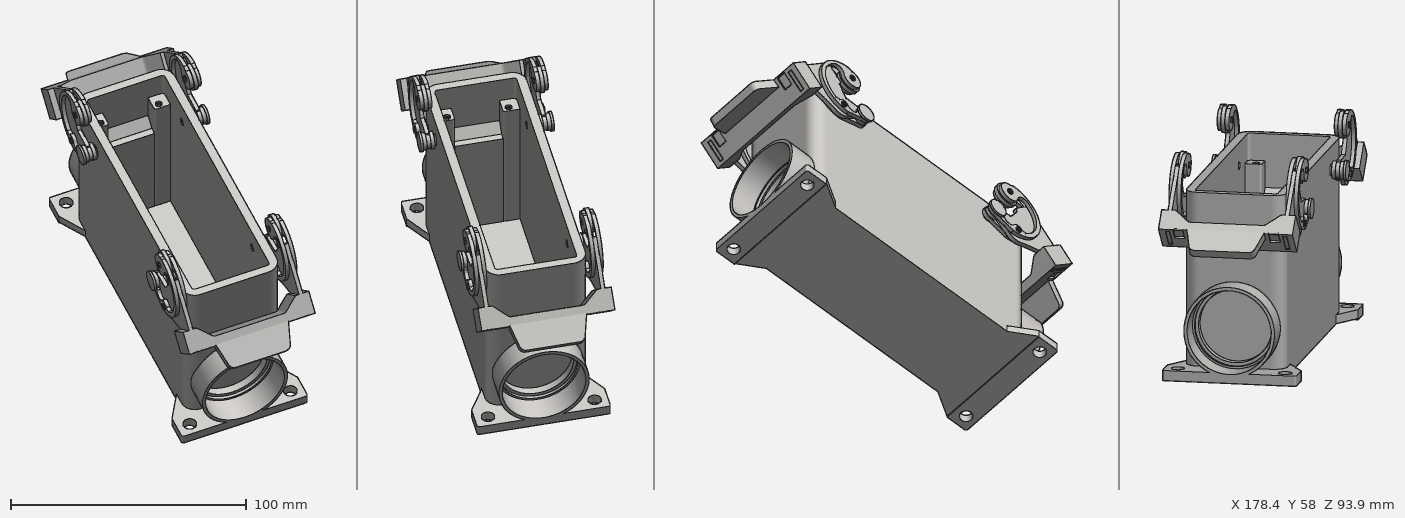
import cadquery as cq
import math


body_length = 121.4
body_width = 43.7
body_bottom = 0.5
body_top = 80.0
body_corner_radius = 6.0
cavity_length = 114.2
cavity_width = 35.7
cavity_corner_radius = 1.5
floor_top = 4.5

post_length = 7.1
post_width = 7.3
post_top = 68.2
post_edge_radius = 1.0
post_hole_radius = 0.8
post_hole_depth = 14.3
post_recess_radius = 1.5
post_recess_depth = 1.0
post_hole_x = 52.3
post_hole_y = 13.4

end_wall_slope = 4.1
end_wall_top = 56.5

port_length = 143.9
port_radius = 19.6
port_z = 22.1
port_bore_radius = 18.2
port_bore_depth = 11.6
port_step_radius = 17.3
port_step_depth = 13.0
port_inner_radius = 15.9
port_inner_depth = 16.6

foot_end_x = port_length / 2
foot_side_x = 60.9
foot_taper_x = 49.0
foot_width = 58.0
foot_top = 4.5
foot_corner_radius = 1.0
foot_hole_radius = 2.9
foot_hole_x = 66.5
foot_hole_y = 23.2

arm_y = 25.3
plate_thickness = 1.8
plate_apex_x = -57.3
arm_thickness = 5.2
arc_x = -47.3
arc_z = 78.5
arc_radius = 15.4
hook_x = -45.2
hook_z = 88.2
hook_radius = 4.8
roller_radius = 5.7
plate_bulge_radius = 5.0

hollow_start = (-42.1, 68.2)
hollow_mid = (-45.0, 65.9)
hollow_end = (-47.5, 67.3)
rivet_hump_top = (-50.0, 68.7)
rivet_hump_end = (-52.1, 67.5)
inner_arc_start = (-54.5, 67.5)
inner_arc_mid = (-60.5, 79.0)
inner_arc_end = (-56.2, 88.9)
throat_top = (-52.1, 90.1)
throat_end = (-49.8, 87.3)

plate_notch = [(-50.2, 82.6), (-50.9, 81.0), (-50.3, 79.8), (-47.1, 74.6)]
bulge_start = (-46.0, 62.8)
bulge_end = (-54.5, 62.1)
plate_heel = (-60.9, 64.3)

pivot_x = -37.8
pivot_z = 70.0
pivot_end_radius = 3.7
pivot_head_radius = 4.3
plate_pivot_radius = 3.4
pivot_shaft_radius = 2.5
pivot_bore_radius = 1.6
pivot_bore_depth = 0.5
rivet_x = -50.0
rivet_z = 65.9
rivet_radius = 1.34
rivet_dimple_radius = 0.7
rivet_proud = 0.5

bar_x = -80.0
bar_z = 67.6
bar_rise = 9.8
bar_run = 13.4
bar_width = foot_width
strip_rise = 4.1
strip_half_width = 16.5
ramp_half_width = 22.8
strip_fillet = 2.1
plate_slot_depth = 0.5
plate_slot_run = 10.0
pocket_half_width = 2.1
pocket_y = 20.7
pocket_start = 0.5
pocket_run = 6.0
pocket_depth = 0.9

tab_tip_x = -89.2
tab_tip_z = 61.2
tab_thickness = 4.0
tab_slope = 35.0
tab_length = 13.0
tab_tip_half_width = 13.7
tab_base_half_width = 17.1
tab_corner_radius = 2.7


def cylinder_along_y(x, z, radius, y_start, y_end):
    return cq.Workplane("XZ", origin=(0, y_start, 0)).center(x, z).circle(radius).extrude(y_start - y_end)


def cylinder_along_x(radius, x_start, x_end):
    return cq.Workplane("YZ", origin=(x_start, 0, port_z)).circle(radius).extrude(x_end - x_start)


def plate_along_y(outline, y_center, thickness):
    """Extrude a closed XZ outline symmetrically about the plane Y = y_center."""
    return outline.extrude(thickness / 2, both=True).translate((0, y_center, 0))


def mirrored_pair(shape, plane):
    return shape.union(shape.mirror(plane))


def make_shell():
    outside = (
        cq.Workplane("XY", origin=(0, 0, body_bottom))
        .rect(body_length, body_width)
        .extrude(body_top - body_bottom)
        .edges("|Z").fillet(body_corner_radius)
    )
    cavity = (
        cq.Workplane("XY", origin=(0, 0, floor_top))
        .rect(cavity_length, cavity_width)
        .extrude(body_top - floor_top)
        .edges("|Z").fillet(cavity_corner_radius)
    )
    return outside, cavity


def make_foot():
    """Left foot: a full-width pad that tapers back to the sides of the box."""
    half_width = foot_width / 2
    pad = (
        cq.Workplane("XY")
        .rect(foot_end_x - foot_side_x, foot_width)
        .extrude(foot_top)
        .translate((-(foot_end_x + foot_side_x) / 2, 0, 0))
        .edges("|Z and <X").fillet(foot_corner_radius)
    )
    taper = (
        cq.Workplane("XY", origin=(0, 0, body_bottom))
        .polyline([
            (-foot_side_x, half_width),
            (-foot_taper_x, body_width / 2),
            (-foot_taper_x, -body_width / 2),
            (-foot_side_x, -half_width),
        ])
        .close()
        .extrude(foot_top - body_bottom)
    )
    holes = (
        cq.Workplane("XY")
        .pushPoints([(-foot_hole_x, foot_hole_y), (-foot_hole_x, -foot_hole_y)])
        .circle(foot_hole_radius)
        .extrude(foot_top)
    )
    return pad.union(taper).cut(holes)


def make_post():
    """Screw post in the cavity corner at -X, +Y."""
    post = (
        cq.Workplane("XY", origin=(0, 0, body_bottom))
        .box(post_length, post_width, post_top - body_bottom, centered=False)
        .translate((-cavity_length / 2, cavity_width / 2 - post_width, 0))
        .edges("|Z and >X and <Y").fillet(post_edge_radius)
    )
    hole = (
        cq.Workplane("XY", origin=(-post_hole_x, post_hole_y, post_top - post_hole_depth))
        .circle(post_hole_radius)
        .extrude(post_hole_depth)
    )
    recess = (
        cq.Workplane("XY", origin=(-post_hole_x, post_hole_y, post_top - post_recess_depth))
        .circle(post_recess_radius)
        .extrude(post_recess_depth)
    )
    return post.cut(hole).cut(recess)


def make_end_wall():
    wall_x = -cavity_length / 2
    slope_x = wall_x + end_wall_slope
    inner_x = wall_x + post_length
    ledge_top = end_wall_top - end_wall_slope
    outline = (
        cq.Workplane("XZ")
        .moveTo(wall_x, floor_top)
        .lineTo(inner_x, floor_top)
        .lineTo(inner_x, ledge_top)
        .lineTo(slope_x, ledge_top)
        .lineTo(wall_x, end_wall_top)
        .close()
    )
    return plate_along_y(outline, 0, cavity_width - 2 * post_width)


def make_port_bore():
    """Stepped blind bore of the left port."""
    mouth_x = -port_length / 2
    bore = cylinder_along_x(port_bore_radius, mouth_x, mouth_x + port_bore_depth)
    bore = bore.union(cylinder_along_x(port_step_radius, mouth_x, mouth_x + port_step_depth))
    return bore.union(cylinder_along_x(port_inner_radius, mouth_x, mouth_x + port_inner_depth))


def make_housing():
    outside, cavity = make_shell()
    port = cylinder_along_x(port_radius, -port_length / 2, port_length / 2)
    housing = outside.union(port).union(mirrored_pair(make_foot(), "YZ"))
    housing = housing.cut(cavity)

    left_fittings = make_end_wall().union(mirrored_pair(make_post(), "XZ"))
    housing = housing.union(mirrored_pair(left_fittings, "YZ"))
    housing = housing.cut(mirrored_pair(make_port_bore(), "YZ"))

    wall_y = cavity_width / 2
    bore = cylinder_along_y(pivot_x, pivot_z, pivot_bore_radius, wall_y, wall_y + pivot_bore_depth)
    return housing.cut(mirrored_pair(mirrored_pair(bore, "XZ"), "YZ"))


def make_c_layer(y_center):
    """C-shaped band from the hook round the big arc to the pivot."""
    band = (
        cq.Workplane("XZ")
        .moveTo(hook_x, hook_z + hook_radius)
        .lineTo(arc_x, arc_z + arc_radius)
        .threePointArc((arc_x - arc_radius, arc_z), (arc_x, arc_z - arc_radius))
        .lineTo(pivot_x, pivot_z - pivot_end_radius)
        .lineTo(pivot_x, pivot_z)
        .lineTo(*hollow_start)
        .threePointArc(hollow_mid, hollow_end)
        .threePointArc(rivet_hump_top, rivet_hump_end)
        .lineTo(*inner_arc_start)
        .threePointArc(inner_arc_mid, inner_arc_end)
        .threePointArc(throat_top, throat_end)
        .lineTo(hook_x, hook_z)
        .close()
    )
    thickness = (arm_thickness - plate_thickness) / 2
    y_start = y_center - thickness / 2
    y_end = y_center + thickness / 2
    layer = plate_along_y(band, y_center, thickness)
    layer = layer.union(cylinder_along_y(hook_x, hook_z, hook_radius, y_start, y_end))
    return layer.union(cylinder_along_y(pivot_x, pivot_z, pivot_end_radius, y_start, y_end))


def make_plate():
    """Thin plate joining the crossbar to the C layers, with the roller at the hook."""
    diagonal = math.sqrt(0.5)
    apex_z = bar_z + plate_apex_x - bar_x
    outline = (
        cq.Workplane("XZ")
        .moveTo(bar_x + bar_rise * diagonal, bar_z + bar_rise * diagonal)
        .lineTo(plate_apex_x, apex_z)
        .polyline(plate_notch, includeCurrent=True)
        .lineTo(pivot_x, pivot_z + pivot_head_radius)
        .lineTo(pivot_x, pivot_z)
        .lineTo(*bulge_start)
        .threePointArc((rivet_x, rivet_z - plate_bulge_radius), bulge_end)
        .lineTo(*plate_heel)
        .lineTo(bar_x + (bar_rise + bar_run) * diagonal, bar_z + (bar_rise - bar_run) * diagonal)
        .close()
    )
    y_start = arm_y - plate_thickness / 2
    y_end = arm_y + plate_thickness / 2
    plate = plate_along_y(outline, arm_y, plate_thickness)
    plate = plate.union(cylinder_along_y(hook_x, hook_z, roller_radius, y_start, y_end))
    return plate.union(cylinder_along_y(pivot_x, pivot_z, plate_pivot_radius, y_start, y_end))


def make_rivet(x, z):
    y_inner = arm_y - arm_thickness / 2 - rivet_proud
    y_outer = arm_y + arm_thickness / 2 + rivet_proud
    rivet = cylinder_along_y(x, z, rivet_radius, y_inner, y_outer)
    return rivet.cut(cylinder_along_y(x, z, rivet_dimple_radius, y_outer - rivet_proud, y_outer))


def make_arm():
    """Side arm at +Y, with its pivot pin reaching into the housing wall."""
    layer_offset = (arm_thickness + plate_thickness) / 4
    arm = make_plate()
    for y_center in (arm_y - layer_offset, arm_y + layer_offset):
        arm = arm.union(make_c_layer(y_center))
    arm = arm.union(make_rivet(hook_x, hook_z)).union(make_rivet(rivet_x, rivet_z))
    head_start = arm_y + arm_thickness / 2
    pin_start = body_width / 2 - pivot_bore_depth
    arm = arm.union(cylinder_along_y(pivot_x, pivot_z, pivot_shaft_radius, pin_start, head_start))
    return arm.union(cylinder_along_y(pivot_x, pivot_z, pivot_head_radius, head_start, bar_width / 2))


def make_crossbar():
    """Bar across the housing; its middle is thinned to a strip between two ramps."""
    section_plane = cq.Plane(origin=(bar_x, 0, bar_z), xDir=(0, 1, 0), normal=(1, 0, -1))
    half_width = bar_width / 2
    bar = (
        cq.Workplane(section_plane)
        .polyline([
            (-half_width, 0),
            (half_width, 0),
            (half_width, bar_rise),
            (ramp_half_width, bar_rise),
            (strip_half_width, strip_rise),
            (-strip_half_width, strip_rise),
            (-ramp_half_width, bar_rise),
            (-half_width, bar_rise),
        ])
        .close()
        .extrude(bar_run)
    )
    for side in (-1, 1):
        corner = section_plane.toWorldCoords((side * strip_half_width, strip_rise, bar_run / 2))
        bar = bar.edges(cq.selectors.NearestToPointSelector(corner.toTuple())).fillet(strip_fillet)
    underside_plane = cq.Plane(origin=(bar_x, 0, bar_z), xDir=(0, -1, 0), normal=(1, 0, 1))
    underside = cq.Workplane(underside_plane)
    slots = (
        underside
        .pushPoints([(-arm_y, bar_run / 2), (arm_y, bar_run / 2)])
        .rect(plate_thickness, plate_slot_run)
        .extrude(plate_slot_depth)
    )
    pocket_mid = pocket_start + pocket_run / 2
    pockets = (
        underside
        .pushPoints([(-pocket_y, pocket_mid), (pocket_y, pocket_mid)])
        .rect(2 * pocket_half_width, pocket_run)
        .extrude(pocket_depth)
    )
    return bar.cut(slots).cut(pockets)


def make_tab():
    """Finger tab sloping outwards and down from the crossbar, narrower at its tip."""
    slope = math.radians(tab_slope)
    inward = (math.cos(slope), 0, math.sin(slope))
    downward = (math.sin(slope), 0, -math.cos(slope))
    tab = (
        cq.Workplane(cq.Plane(origin=(tab_tip_x, 0, tab_tip_z), xDir=inward, normal=downward))
        .polyline([
            (0, -tab_tip_half_width),
            (tab_length, -tab_base_half_width),
            (tab_length, tab_base_half_width),
            (0, tab_tip_half_width),
        ])
        .close()
        .extrude(tab_thickness)
    )
    across_thickness = cq.selectors.ParallelDirSelector(cq.Vector(*downward))
    tip_corners = tab.edges(across_thickness).edges("<X")
    return tip_corners.fillet(tab_corner_radius)


def make_lever():
    return mirrored_pair(make_arm(), "XZ").union(make_crossbar()).union(make_tab())


result = make_housing().union(mirrored_pair(make_lever(), "YZ"))